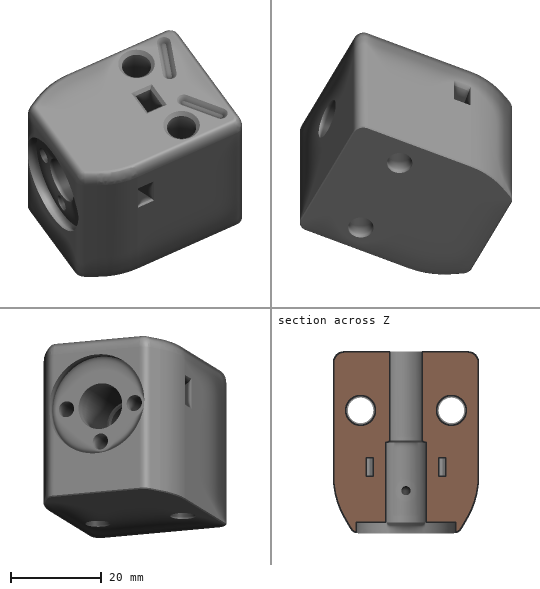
import cadquery as cq
import math

width = 32.0
length = 40.0
height = 35.0
front_y = -length / 2
back_y = length / 2

corner_radius = 2.4
flank_radius = 18.0
flank_angle = math.radians(30)
flank_start_y = -7.5

rim_inset = 1.8
rim_height = 2.8
base_chamfer = 0.25

bore_z = 20.15
recess_diameter = 22.4
recess_depth = 2.4
floor_y = front_y + recess_depth
bore_diameter = 10.3
bore_exit_diameter = 8.8
bore_exit_chamfer = 0.4
bore_shoulder_y = 0.0

screw_circle_radius = 8.0
screw_diameter = 3.6

nut_flats = 5.3
side_nut_y_min = -7.35
side_nut_y_max = -3.35
side_nut_tilt = 60.0
side_nut_reach = 14.0
side_flare = 0.75
flare_angle = 15.0
top_nut_y_min = 2.65
top_nut_y_max = 6.45
top_nut_chamfer = 0.7

passage_diameter = 2.0
taper_length = 6.0
passage_y = floor_y + taper_length + passage_diameter / 2

post_x = 10.0
post_y = 7.1
post_diameter = 6.45
post_exit_diameter = 5.6
post_shoulder_z = 4.0
post_chamfer = 0.8

groove_places = ((-8.1, 13.7, -21.5), (7.7, 13.65, 35.0))
groove_length = 12.0
groove_width = 3.05
groove_depth = 1.0


def prism(z_size):
    """Upright solid with the plan outline of the part and rounded corners."""
    half = width / 2

    def flank_point(angle):
        x = half - flank_radius * (1 - math.cos(angle))
        y = flank_start_y - flank_radius * math.sin(angle)
        return x, y

    mid_x, mid_y = flank_point(flank_angle / 2)
    end_x, end_y = flank_point(flank_angle)
    front_x = end_x - (end_y - front_y) * math.tan(flank_angle)
    solid = (
        cq.Workplane("XY")
        .moveTo(half, back_y)
        .lineTo(half, flank_start_y)
        .threePointArc((mid_x, mid_y), (end_x, end_y))
        .lineTo(front_x, front_y)
        .lineTo(-front_x, front_y)
        .lineTo(-end_x, end_y)
        .threePointArc((-mid_x, mid_y), (-half, flank_start_y))
        .lineTo(-half, back_y)
        .close()
        .extrude(z_size)
    )
    return solid.edges("|Z and (>Y or <Y)").fillet(corner_radius)


def body():
    """Straight-walled block under a rim whose section is a quarter ellipse."""
    block_height = height - rim_height
    block = prism(block_height).faces("<Z").chamfer(base_chamfer)

    lid = prism(2 * rim_inset).faces(">Z").edges().fillet(rim_inset)
    stretch = rim_height / rim_inset
    stretch_z = cq.Matrix([[1, 0, 0, 0], [0, 1, 0, 0], [0, 0, stretch, height - 2 * rim_height]])
    lid = cq.Workplane(lid.val().transformGeometry(stretch_z))
    below_lid = cq.Workplane("XY").box(2 * width, 2 * length, block_height, (True, True, False))
    return block.union(lid.cut(below_lid))


def hole_along_y(x, z, diameter, y_from, y_to, end_diameter=None):
    """Round hole running toward +Y, conical when an end diameter is given."""
    depth = y_to - y_from
    start = cq.Vector(x, y_from, z)
    toward_back = cq.Vector(0, 1, 0)
    if end_diameter is None:
        return cq.Workplane(cq.Solid.makeCylinder(diameter / 2, depth, start, toward_back))
    return cq.Workplane(cq.Solid.makeCone(diameter / 2, end_diameter / 2, depth, start, toward_back))


def bore():
    mouth_diameter = bore_exit_diameter + 2 * bore_exit_chamfer
    chamfer_end_y = bore_shoulder_y + bore_exit_chamfer
    cutter = hole_along_y(0, bore_z, recess_diameter, front_y, floor_y)
    cutter = cutter.union(hole_along_y(0, bore_z, bore_diameter, front_y, bore_shoulder_y))
    cutter = cutter.union(hole_along_y(0, bore_z, bore_exit_diameter, front_y, back_y))
    chamfer = hole_along_y(0, bore_z, mouth_diameter, bore_shoulder_y, chamfer_end_y, bore_exit_diameter)
    return cutter.union(chamfer)


def nut_pocket(y_min, y_max, reach):
    """Slot with a hexagon point at its lower end, centred on the Y axis and running up +Z."""
    half = nut_flats / 2
    point_z = -nut_flats / math.sqrt(3)
    return (
        cq.Workplane("XZ", origin=(0, y_max, 0))
        .polyline([(-half, reach), (-half, point_z / 2), (0, point_z), (half, point_z / 2), (half, reach)])
        .close()
        .extrude(y_max - y_min)
    )


def side_nut(side):
    """Screw hole with a nut pocket that climbs to the side wall and flares where it leaves it."""
    pocket = nut_pocket(side_nut_y_min, side_nut_y_max, side_nut_reach)
    pocket = pocket.rotate((0, 0, 0), (0, 1, 0), side_nut_tilt).translate((screw_circle_radius, 0, bore_z))

    wall_x = width / 2
    flare_x = wall_x - side_flare
    slope = 90 - side_nut_tilt
    half_opening = nut_flats / 2 / math.cos(math.radians(slope))
    middle_z = bore_z + (flare_x - screw_circle_radius) * math.tan(math.radians(slope))
    top_rise = side_flare * math.tan(math.radians(slope + flare_angle))
    bottom_rise = side_flare * math.tan(math.radians(slope - flare_angle))
    flare = (
        cq.Workplane("XZ", origin=(0, side_nut_y_max, 0))
        .moveTo(flare_x, middle_z - half_opening)
        .lineTo(wall_x, middle_z - half_opening + bottom_rise)
        .lineTo(wall_x, middle_z + half_opening + top_rise)
        .lineTo(flare_x, middle_z + half_opening)
        .close()
        .extrude(side_nut_y_max - side_nut_y_min)
    )
    screw = hole_along_y(screw_circle_radius, bore_z, screw_diameter, floor_y, side_nut_y_min)
    cutter = pocket.union(flare).union(screw)
    return cutter if side > 0 else cutter.mirror("YZ")


def top_nut():
    """Nut pocket open to the top, with a chamfered mouth."""
    pocket = nut_pocket(top_nut_y_min, top_nut_y_max, height).translate((0, 0, bore_z + screw_circle_radius))
    thickness = top_nut_y_max - top_nut_y_min
    mouth = (
        cq.Workplane("XY", origin=(0, top_nut_y_min + thickness / 2, height))
        .rect(nut_flats + 2 * top_nut_chamfer, thickness + 2 * top_nut_chamfer)
        .extrude(-top_nut_chamfer, taper=45)
    )
    return pocket.union(mouth)


def passage():
    """Hole narrowing from screw size, then turning through a rounded elbow up to the bore."""
    z = bore_z - screw_circle_radius
    radius = passage_diameter / 2
    taper_end_y = floor_y + taper_length
    cutter = hole_along_y(0, z, screw_diameter, floor_y, taper_end_y, passage_diameter)
    cutter = cutter.union(hole_along_y(0, z, passage_diameter, taper_end_y, passage_y))
    upright = cq.Workplane("XY", origin=(0, passage_y, z)).circle(radius).extrude(bore_z - z)
    elbow = cq.Workplane("XY", origin=(0, passage_y, z)).sphere(radius)
    return cutter.union(upright).union(elbow)


def post_hole(x):
    """Stepped hole through the full height with a chamfered mouth."""
    radius = post_diameter / 2
    through = cq.Workplane("XY", origin=(x, post_y, 0)).circle(post_exit_diameter / 2).extrude(height)
    upper = cq.Workplane("XY", origin=(x, post_y, post_shoulder_z)).circle(radius).extrude(height)
    mouth = cq.Workplane(
        cq.Solid.makeCone(
            radius + post_chamfer, radius, post_chamfer, cq.Vector(x, post_y, height), cq.Vector(0, 0, -1)
        )
    )
    return through.union(upper).union(mouth)


def groove(x, y, angle):
    """Round-ended groove with sloping walls."""
    return (
        cq.Workplane("XY", origin=(x, y, height))
        .transformed(rotate=(0, 0, angle))
        .slot2D(groove_length, groove_width)
        .extrude(-groove_depth, taper=45)
    )


result = body().cut(bore()).cut(top_nut()).cut(passage())
for side in (-1, 1):
    result = result.cut(side_nut(side)).cut(post_hole(side * post_x))
for x, y, angle in groove_places:
    result = result.cut(groove(x, y, angle))
result = cq.Workplane(result.solids().val())